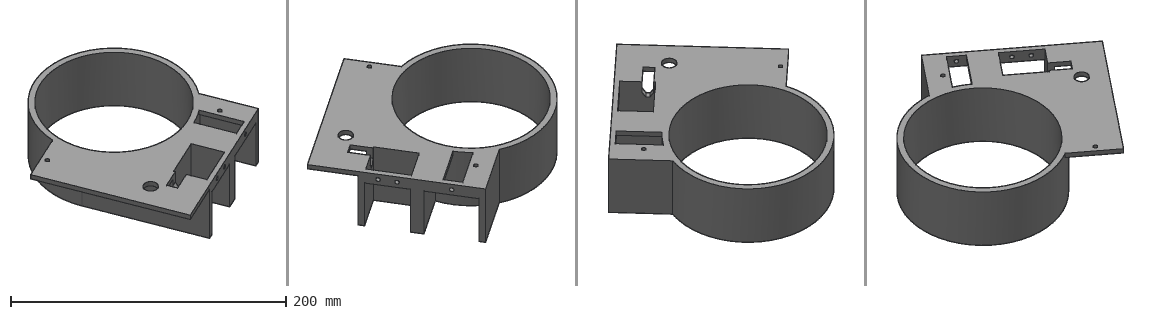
import cadquery as cq


outer_size = 162.5

height = 50.0
bore_diameter = 115.0
outer_diameter = 125.0
ring_radius = outer_diameter / 2

plate_thickness = 4.0
plate_left = -25.0
plate_right = outer_size - ring_radius
plate_front = ring_radius - outer_size
plate_back = 32.5
plate_underside = height - plate_thickness

box_wall = 5.0
side_strip_thickness = 4.0
side_strip_height = 9.9
box_front = -ring_radius
inner_right = plate_right - side_strip_thickness

front_bay_left = 69.9
front_bay_front = box_front + box_wall
front_bay_back = -23.4

rear_bay_front = -13.3
rear_bay_back = plate_back - box_wall
rear_window_front = 0.0
rear_window_back = 14.6

slot_left = 71.2
slot_width = 8.6
slot_front = -74.5
notch_straight_depth = 9.8
notch_depth = 14.1
notch_floor_width = 3.0

screw_hole_diameter = 3.2
screw_hole_places = [(74.9, 19.8), (-20.0, -80.0)]
cable_hole_diameter = 11.0
cable_hole_place = (61.0, -80.0)
strip_hole_diameter = 3.2
strip_hole_drop = 5.0
strip_hole_spacing = 14.1
front_bay_middle = (front_bay_front + front_bay_back) / 2
rear_window_middle = (rear_window_front + rear_window_back) / 2
strip_hole_ys = [
    front_bay_middle - strip_hole_spacing / 2,
    front_bay_middle + strip_hole_spacing / 2,
    rear_window_middle,
]


def block(x_range, y_range, z_range):
    """Box spanning the given (low, high) ranges."""
    sizes = [high - low for low, high in (x_range, y_range, z_range)]
    corner = (x_range[0], y_range[0], z_range[0])
    return cq.Workplane("XY").box(*sizes, centered=False).translate(corner)


def cylinder(diameter, place, bottom=0):
    """Upright cylinder from the given level to the top face."""
    return (
        cq.Workplane("XY", origin=(*place, bottom))
        .circle(diameter / 2)
        .extrude(height - bottom)
    )


def make_body():
    """Round housing, tangent box and overhanging top plate."""
    ring = cylinder(outer_diameter, (0, 0))
    box = block((0, plate_right), (box_front, plate_back), (0, height))
    plate = block((plate_left, plate_right), (plate_front, plate_back), (plate_underside, height))
    return ring.union(box).union(plate)


def make_front_bay():
    """Bay through the plate, open to the right below the side strip."""
    bay_y = (front_bay_front, front_bay_back)
    shaft = block((front_bay_left, inner_right), bay_y, (0, height))
    side_opening = block((front_bay_left, plate_right), bay_y, (0, height - side_strip_height))
    return shaft.union(side_opening)


def make_rear_bay():
    """Bay under the plate with a smaller window, bounded on the left by the housing."""
    bay_y = (rear_bay_front, rear_bay_back)
    window_y = (rear_window_front, rear_window_back)
    hollow = block((0, inner_right), bay_y, (0, plate_underside))
    side_opening = block((0, plate_right), bay_y, (0, height - side_strip_height))
    window = block((0, inner_right), window_y, (0, height))
    housing = cylinder(outer_diameter, (0, 0))
    return hollow.union(side_opening).union(window).cut(housing)


def make_cable_slot():
    """Pointed notch through the front wall, open to a rectangular slot in the plate."""
    slot_right = slot_left + slot_width
    floor_left = slot_left + (slot_width - notch_floor_width) / 2
    outline = [
        (slot_left, height),
        (slot_left, height - notch_straight_depth),
        (floor_left, height - notch_depth),
        (floor_left + notch_floor_width, height - notch_depth),
        (slot_right, height - notch_straight_depth),
        (slot_right, height),
    ]
    return (
        cq.Workplane("XZ", origin=(0, front_bay_front, 0))
        .polyline(outline)
        .close()
        .extrude(front_bay_front - slot_front)
    )


def make_strip_hole(y):
    """Hole along X through the side strip."""
    return (
        cq.Workplane("YZ", origin=(inner_right, y, height - strip_hole_drop))
        .circle(strip_hole_diameter / 2)
        .extrude(side_strip_thickness)
    )


result = make_body()
result = result.cut(cylinder(bore_diameter, (0, 0)))
result = result.cut(make_front_bay())
result = result.cut(make_rear_bay())
result = result.cut(make_cable_slot())
result = result.cut(cylinder(cable_hole_diameter, cable_hole_place, plate_underside))
for place in screw_hole_places:
    result = result.cut(cylinder(screw_hole_diameter, place, plate_underside))
for hole_y in strip_hole_ys:
    result = result.cut(make_strip_hole(hole_y))